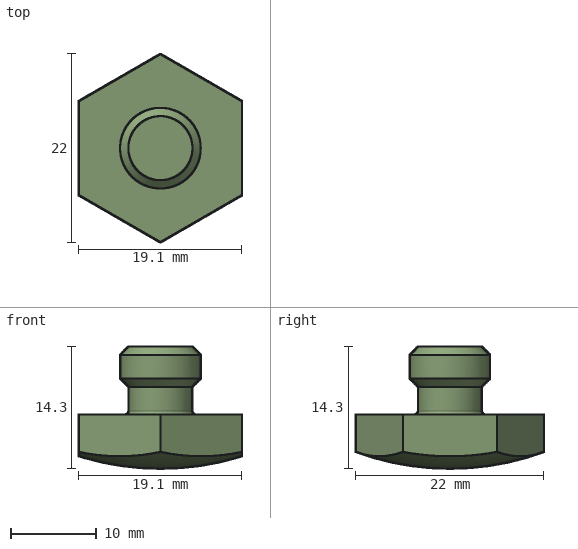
import cadquery as cq
import math

corner_diameter = 22.0
total_height = 14.28

base_top = 6.35
dome_rise = 1.98

neck_radius = 3.75
head_radius = 4.7
head_height = 4.7
neck_fillet = 0.4

corner_radius = corner_diameter / 2
dome_radius = (corner_radius**2 + dome_rise**2) / (2 * dome_rise)
head_chamfer = head_radius - neck_radius
head_bottom = total_height - head_height


def make_base():
    """Hexagonal prism with corners on the Y axis, cut below by a sphere."""
    corners = [
        (corner_radius * math.sin(math.radians(angle)), corner_radius * math.cos(math.radians(angle)))
        for angle in range(0, 360, 60)
    ]
    prism = cq.Workplane("XY").polyline(corners).close().extrude(base_top)
    dome = cq.Workplane("XY").sphere(dome_radius).translate((0, 0, dome_radius))
    return prism.intersect(dome)


def make_stud():
    """Neck and head revolved about Z, with a concave fillet at the neck's foot."""
    foot_radius = neck_radius + neck_fillet
    fillet_top = base_top + neck_fillet
    arc_offset = neck_fillet * (1 - math.sqrt(0.5))
    arc_middle = (neck_radius + arc_offset, base_top + arc_offset)
    root = base_top / 2
    profile = (
        cq.Workplane("XZ")
        .moveTo(0, root)
        .lineTo(foot_radius, root)
        .lineTo(foot_radius, base_top)
        .threePointArc(arc_middle, (neck_radius, fillet_top))
        .lineTo(neck_radius, head_bottom)
        .lineTo(head_radius, head_bottom + head_chamfer)
        .lineTo(head_radius, total_height - head_chamfer)
        .lineTo(neck_radius, total_height)
        .lineTo(0, total_height)
        .close()
    )
    return profile.revolve(360, (0, 0, 0), (0, 1, 0))


result = make_base().union(make_stud())